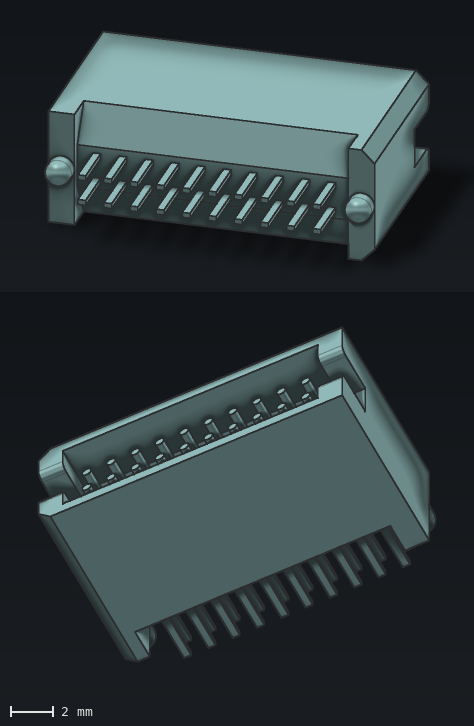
import cadquery as cq
import math

LENGTH = 15.88
DEPTH = 9.13
HEIGHT = 5.72
END_WALL = 1.27
KEY_CHAMFER = 0.64

SLOT_DEPTH = 2.43
SLOT_HEIGHT = 1.94
SLOT_ROUND = 0.4
CAVITY_WALL = 0.64

RIDGE_RECESS = 0.48
SLOPE_START = 1.55
RIDGE_HEIGHT = 2.16

POST_DIAMETER = 1.27
POST_STRAIGHT = 0.51

PITCH = 1.27
COLUMNS = 10
ROWS = 2
PIN_DIAMETER = 0.46
PIN_TIP_RECESS = 0.6
TAIL_WIDTH = 0.38
TAIL_THICKNESS = 0.25
TAIL_REACH = 2.05

INNER_LENGTH = LENGTH - 2 * END_WALL
CAVITY_HEIGHT = HEIGHT - 2 * CAVITY_WALL
CAVITY_FLOOR = DEPTH - SLOT_DEPTH


def block(length, y_start, y_end, height):
    """Box centred on X and Z that spans y_start to y_end."""
    return cq.Workplane("XY").box(length, y_end - y_start, height).translate((0, (y_start + y_end) / 2, 0))


def end_slot():
    """Slot with rounded mouth edges that runs through both end walls."""
    half = SLOT_HEIGHT / 2
    round_start = DEPTH - SLOT_ROUND
    mouth_half = half + SLOT_ROUND
    arc_reach = SLOT_ROUND * math.sqrt(0.5)
    arc_y = round_start + arc_reach
    arc_z = mouth_half - arc_reach
    return (
        cq.Workplane("YZ")
        .moveTo(CAVITY_FLOOR, -half)
        .lineTo(round_start, -half)
        .threePointArc((arc_y, -arc_z), (DEPTH, -mouth_half))
        .lineTo(DEPTH, mouth_half)
        .threePointArc((arc_y, arc_z), (round_start, half))
        .lineTo(CAVITY_FLOOR, half)
        .close()
        .extrude(LENGTH / 2, both=True)
    )


def back_relief():
    """Material removed between the end walls to leave a sloped ridge."""
    half = HEIGHT / 2
    ridge_half = RIDGE_HEIGHT / 2
    outline = [
        (0, -half),
        (SLOPE_START, -half),
        (RIDGE_RECESS, -ridge_half),
        (RIDGE_RECESS, ridge_half),
        (SLOPE_START, half),
        (0, half),
    ]
    return cq.Workplane("YZ").polyline(outline).close().extrude(INNER_LENGTH / 2, both=True)


def locating_post(x):
    """Round post with a hemispherical tip, pointing toward -Y."""
    radius = POST_DIAMETER / 2
    shaft = cq.Workplane("XZ").center(x, 0).circle(radius).extrude(POST_STRAIGHT)
    tip = cq.Workplane("XY").sphere(radius).translate((x, -POST_STRAIGHT, 0))
    return shaft.union(tip)


def insert_block():
    """Plain block of the contact insert, which fills the housing window."""
    return block(INNER_LENGTH, RIDGE_RECESS, CAVITY_FLOOR, RIDGE_HEIGHT)


def make_housing():
    body = block(LENGTH, 0, DEPTH, HEIGHT)
    body = body.edges("|Y and >X").chamfer(KEY_CHAMFER)
    body = body.cut(block(INNER_LENGTH, CAVITY_FLOOR, DEPTH, CAVITY_HEIGHT))
    body = body.cut(end_slot()).cut(back_relief())
    post_offset = (LENGTH - END_WALL) / 2
    for x in (-post_offset, post_offset):
        body = body.union(locating_post(x))
    return body.cut(insert_block())


def make_contact_insert():
    """Insert that carries round mating pins at +Y and flat solder tails at -Y."""
    pin_length = SLOT_DEPTH - PIN_TIP_RECESS
    tail_length = TAIL_REACH + RIDGE_RECESS
    pins = (
        cq.Workplane("XZ", origin=(0, CAVITY_FLOOR, 0))
        .rarray(PITCH, PITCH, COLUMNS, ROWS)
        .circle(PIN_DIAMETER / 2)
        .extrude(-pin_length)
    )
    tails = (
        cq.Workplane("XZ", origin=(0, RIDGE_RECESS, 0))
        .rarray(PITCH, PITCH, COLUMNS, ROWS)
        .rect(TAIL_WIDTH, TAIL_THICKNESS)
        .extrude(tail_length)
    )
    return insert_block().union(pins).union(tails)


housing = make_housing()
contact_insert = make_contact_insert()

result = cq.Compound.makeCompound([housing.val(), contact_insert.val()])